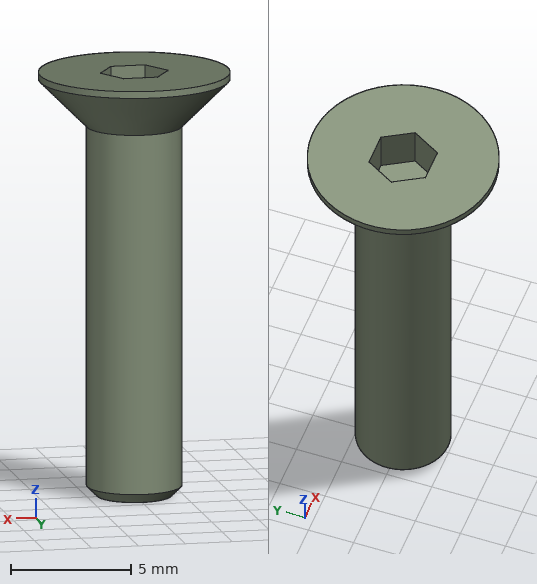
import cadquery as cq
import math

total_length = 18.0
head_diameter = 8.0
shank_diameter = head_diameter / 2
rim_height = 0.29
tip_chamfer = 0.43
socket_across_flats = 2.5
socket_depth = 1.8

head_radius = head_diameter / 2
shank_radius = shank_diameter / 2
cone_height = head_radius - shank_radius
rim_bottom = total_length - rim_height
cone_bottom = rim_bottom - cone_height


def screw_body():
    """Revolve the half profile of tip, shank, cone and rim about Z."""
    return (
        cq.Workplane("XZ")
        .moveTo(0, 0)
        .lineTo(shank_radius - tip_chamfer, 0)
        .lineTo(shank_radius, tip_chamfer)
        .lineTo(shank_radius, cone_bottom)
        .lineTo(head_radius, rim_bottom)
        .lineTo(head_radius, total_length)
        .lineTo(0, total_length)
        .close()
        .revolve(360, (0, 0), (0, 1))
    )


def hex_socket():
    """Hexagonal prism sunk from the head face, with two corners on the X axis."""
    across_corners = socket_across_flats / math.cos(math.pi / 6)
    return (
        cq.Workplane("XY")
        .workplane(offset=total_length - socket_depth)
        .polygon(6, across_corners)
        .extrude(socket_depth)
    )


result = screw_body().cut(hex_socket())